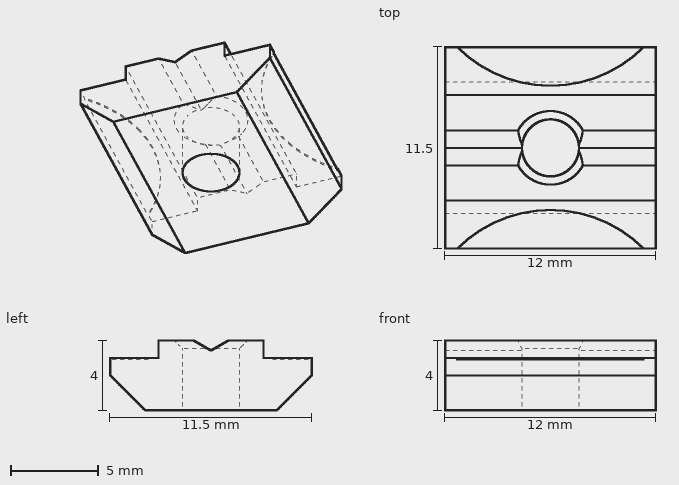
import cadquery as cq

length = 12.0
width = 11.5
height = 4.0

rail_width = 6.0
shoulder_height = 3.0
bottom_chamfer = 2.0
groove_width = 2.0
groove_depth = 0.58

bore_diameter = 3.24
countersink_diameter = 4.2
countersink_angle = 90.0

recess_radius = 7.5
recess_reach = 2.21
recess_depth = 0.1


def make_profile_body():
    """Slot-nut section with a raised rail and a V groove, extruded along X."""
    half_width = width / 2
    half_bottom = half_width - bottom_chamfer
    half_rail = rail_width / 2
    half_groove = groove_width / 2
    outline = [
        (-half_bottom, 0),
        (half_bottom, 0),
        (half_width, bottom_chamfer),
        (half_width, shoulder_height),
        (half_rail, shoulder_height),
        (half_rail, height),
        (half_groove, height),
        (0, height - groove_depth),
        (-half_groove, height),
        (-half_rail, height),
        (-half_rail, shoulder_height),
        (-half_width, shoulder_height),
        (-half_width, bottom_chamfer),
    ]
    return cq.Workplane("YZ").polyline(outline).close().extrude(length / 2, both=True)


def cut_bore(body):
    """Vertical through hole, countersunk from the top of the rail."""
    return (
        body.faces(">Z")
        .workplane(origin=(0, 0, height))
        .cskHole(bore_diameter, countersink_diameter, countersink_angle)
    )


def cut_shoulder_recesses(body):
    """One arc-shaped recess on each shoulder, open to the outer side."""
    center_y = width / 2 - recess_reach + recess_radius
    cutters = (
        cq.Workplane("XY", origin=(0, 0, shoulder_height - recess_depth))
        .pushPoints([(0, -center_y), (0, center_y)])
        .circle(recess_radius)
        .extrude(recess_depth)
    )
    return body.cut(cutters)


result = cut_shoulder_recesses(cut_bore(make_profile_body()))